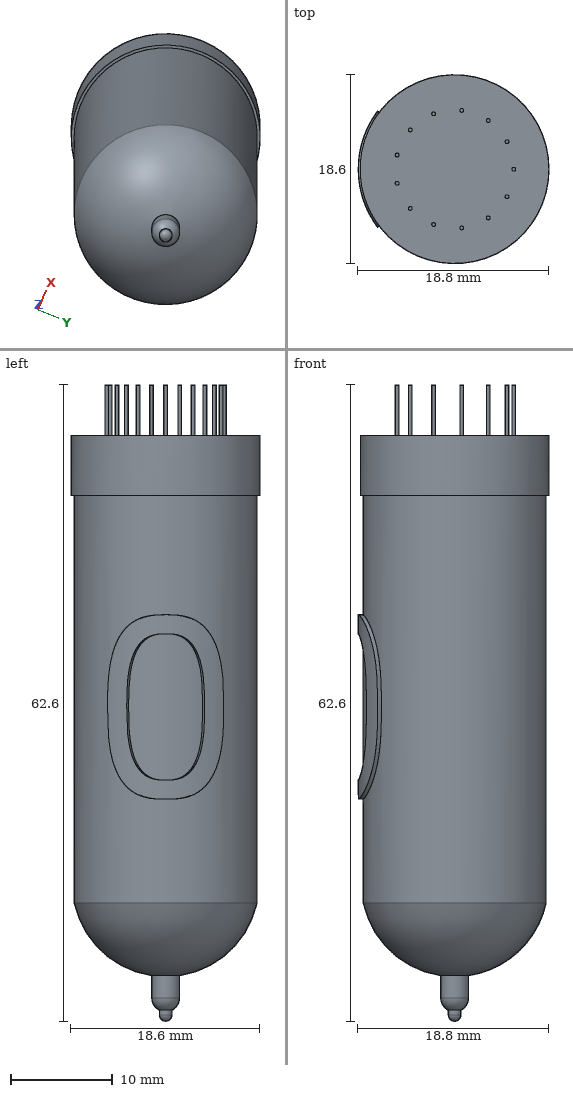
import cadquery as cq
import math

total_height = 62.6
body_radius = 9.0
cap_radius = 9.3
cap_top = 57.65
cap_bottom = 51.7
dome_top = 11.65
dome_bottom = 4.4

stem_radius = 1.4
stem_bottom = 2.3
tip_radius = 0.6

pin_count = 13
pin_circle_radius = 5.8
pin_radius = 0.2

ring_center_z = 30.9
ring_outer_radius = 9.485
ring_half_height = 9.1
ring_half_arc = 6.15
opening_half_height = 7.2
opening_half_arc = 3.95
oval_exponent = 2.75
oval_point_count = 32

overlap = 0.3


def make_envelope():
    """Revolve the cap, body, domed end and tip as one profile."""
    dome_depth = dome_top - dome_bottom
    dome_radius = (body_radius**2 + dome_depth**2) / (2 * dome_depth)
    dome_center = dome_bottom + dome_radius

    def dome_z(radius):
        return dome_center - math.sqrt(dome_radius**2 - radius**2)

    dome_middle = body_radius / 2
    nose_middle = stem_radius * math.sin(math.radians(60))
    nose_middle_z = stem_bottom - stem_radius * math.cos(math.radians(60))
    nose_bottom = stem_bottom - math.sqrt(stem_radius**2 - tip_radius**2)
    tip_middle = tip_radius * math.sin(math.radians(45))

    profile = (
        cq.Workplane("XZ")
        .moveTo(0, cap_top)
        .lineTo(cap_radius, cap_top)
        .lineTo(cap_radius, cap_bottom)
        .lineTo(body_radius, cap_bottom)
        .lineTo(body_radius, dome_top)
        .threePointArc((dome_middle, dome_z(dome_middle)), (stem_radius, dome_z(stem_radius)))
        .lineTo(stem_radius, stem_bottom)
        .threePointArc((nose_middle, nose_middle_z), (tip_radius, nose_bottom))
        .lineTo(tip_radius, tip_radius)
        .threePointArc((tip_middle, tip_radius - tip_middle), (0, 0))
        .close()
    )
    return profile.revolve(360, (0, 0, 0), (0, 1, 0))


def make_pins():
    return (
        cq.Workplane("XY", origin=(0, 0, cap_top - overlap))
        .polarArray(pin_circle_radius, 0, 360, pin_count)
        .circle(pin_radius)
        .extrude(total_height - cap_top + overlap)
    )


def oval_wire(half_arc, half_height, distance):
    """Project the wrapped superellipse from the Z axis onto the plane X = -distance."""
    points = []
    for index in range(oval_point_count):
        angle = 2 * math.pi * index / oval_point_count
        cosine = math.cos(angle)
        sine = math.sin(angle)
        arc = half_arc * math.copysign(abs(cosine) ** (2 / oval_exponent), cosine)
        height = half_height * math.copysign(abs(sine) ** (2 / oval_exponent), sine)
        y = distance * math.tan(arc / ring_outer_radius)
        points.append(cq.Vector(-distance, y, ring_center_z + height))
    return cq.Wire.assembleEdges([cq.Edge.makeSpline(points, periodic=True)])


def oval_prism(half_arc, half_height):
    """Solid whose side walls run radially out from the Z axis."""
    near = body_radius / 2
    far = ring_outer_radius + overlap
    sections = [oval_wire(half_arc, half_height, distance) for distance in (near, far)]
    return cq.Workplane(cq.Solid.makeLoft(sections, True))


def make_ring():
    sleeve = (
        cq.Workplane("XY", origin=(0, 0, ring_center_z))
        .circle(ring_outer_radius)
        .circle(body_radius - overlap)
        .extrude(ring_half_height + overlap, both=True)
    )
    outside = oval_prism(ring_half_arc, ring_half_height)
    opening = oval_prism(opening_half_arc, opening_half_height)
    return sleeve.intersect(outside).cut(opening)


result = make_envelope().union(make_pins()).union(make_ring())